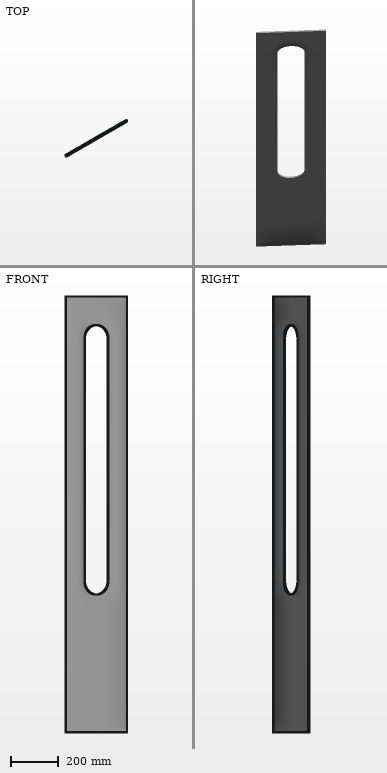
import cadquery as cq

plate_width = 294.64
plate_thickness = 6.35
plate_height = 1828.8
turn_angle = 30.0

slot_width = 114.3
slot_length = 1130.3
slot_top_margin = 120.65
slot_centre_z = plate_height / 2 - slot_top_margin - slot_length / 2


def make_plate():
    return cq.Workplane("XY").box(plate_width, plate_thickness, plate_height)


def make_slot_cutter():
    return (
        cq.Workplane("XZ")
        .center(0, slot_centre_z)
        .slot2D(slot_length, slot_width, angle=90)
        .extrude(plate_thickness, both=True)
    )


slotted_plate = make_plate().cut(make_slot_cutter())
result = slotted_plate.rotate((0, 0, 0), (0, 0, 1), turn_angle)